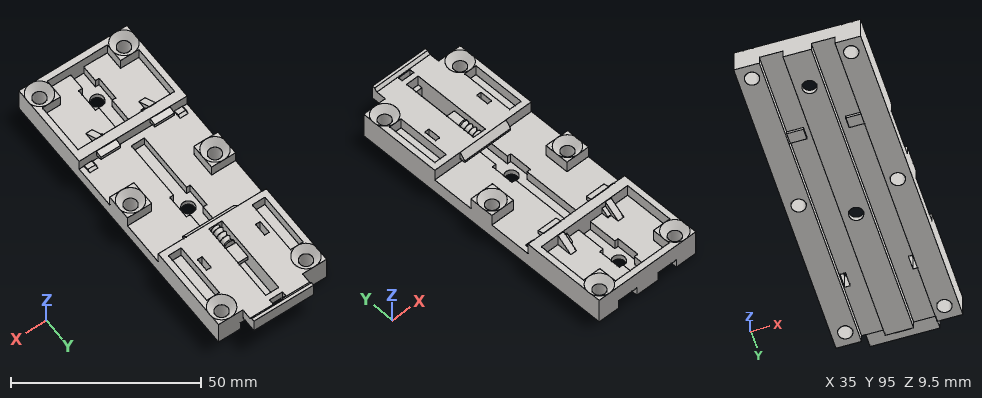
import cadquery as cq

WIDTH = 35.0
TOTAL_LENGTH = 95.0
TOTAL_HEIGHT = 9.5
BODY_LENGTH = 90.0
BODY_HEIGHT = 8.6
FLOOR_Z = 4.8
HALF_WIDTH = WIDTH / 2

SEAT_CENTER_Y = 45.0
SEAT_LENGTH = 35.6
SEAT_FRONT_Y = SEAT_CENTER_Y - SEAT_LENGTH / 2
SEAT_BACK_Y = SEAT_CENTER_Y + SEAT_LENGTH / 2

SCREW_X = 13.65
SCREW_ROWS_Y = (4.0, SEAT_CENTER_Y, 86.0)
SCREW_DIAMETER = 4.0
SINK_DIAMETER = 8.0
SINK_DEPTH = (SINK_DIAMETER - SCREW_DIAMETER) / 2
PAD_INNER_X = 9.7
PAD_LENGTH = SINK_DIAMETER

POCKET_HALF_WIDTH = 15.6
POCKET_FRONT_Y = 2.0
POCKET_BACK_Y = 24.1
GUSSET_OUTER_X = 9.6
GUSSET_INNER_X = 7.55
GUSSET_TOP_Z = 8.4
GUSSET_LENGTH = 4.9
GUSSET_SLOPE = (GUSSET_TOP_Z - FLOOR_Z) / GUSSET_LENGTH
STEP_INNER_X = 6.35
STEP_LENGTH = 2.2
STEP_TOP_Z = 6.8

GROOVE_WIDTH = 4.2
GROOVE_FLOOR_Z = 1.75
GROOVE_BACK_PART_Y = 29.3
RECESS_WIDTH = 6.6
RECESS_LENGTH = 7.5
CENTER_SCREWS_Y = (11.0, 52.0)

SHALLOW_FLOOR_Z = 5.1
SIDE_POCKET_INNER_X = 11.5
SIDE_POCKET_FRONT_Y = 64.8
SIDE_POCKET_BACK_Y = 82.0
SLIT_X = 9.4
SLIT_Y = 72.3
SLIT_WIDTH = 1.5
SLIT_LENGTH = 4.1
SLOT_FRONT_Y = 64.2
SLOT_ROD_END_Y = 70.5
SLOT_STEP_BACK_Y = 76.0
SLOT_LEDGE_Y = 88.4
SLOT_BACK_Y = 89.8
SLOT_STEP_Z = 6.15
ROD_RADIUS = 1.65
ROD_AXIS_Z = 6.7
ROD_END_LAND = 0.4
ROD_GROOVE_PITCH = 1.58
ROD_GROOVE_COUNT = 4
ROD_GROOVE_RADIUS = 1.0
ROD_GROOVE_DEPTH = 0.35

TAB_WIDTH = 19.3
LIP_FLAT = 0.95
LIP_SLOPE_END = 1.8
TAB_SLOT_FRONT_Y = 91.5
TAB_SLOT_BACK_Y = 92.9

HOOK_WIDTH = 16.6
HOOK_REACH = 1.75
HOOK_NOSE_TOP_Z = 6.6
HOOK_BOTTOM_Z = 6.0
CATCH_INNER_X = 5.5
CATCH_OUTER_X = 11.9
CATCH_REACH = 2.0
CATCH_ROOT_BOTTOM_Z = 6.5
CATCH_ROOT_TOP_Z = 8.4
CATCH_TIP_BOTTOM_Z = 6.9
CATCH_TIP_TOP_Z = 7.95
BUMP_INNER_X = 13.3
BUMP_OUTER_X = 15.9
BUMP_REACH = 2.6
BUMP_PEAK_REACH = 1.7
BUMP_ROOT_Z = 5.1
BUMP_PEAK_Z = 5.35

CHANNEL_INNER_X = 3.9
CHANNEL_OUTER_X = 10.4
CHANNEL_DEPTH = 2.9
CEILING_PAD_INNER_X = 5.8
CEILING_PAD_BOTTOM_Z = 2.0


def box(x0, x1, y0, y1, z0, z1):
    """Box between two opposite corners."""
    block = cq.Workplane("XY").box(x1 - x0, y1 - y0, z1 - z0, centered=False)
    return block.translate((x0, y0, z0))


def centered_box(width, y0, y1, z0, z1):
    """Box centred on the YZ plane."""
    return box(-width / 2, width / 2, y0, y1, z0, z1)


def both_sides(inner_x, outer_x, y0, y1, z0, z1):
    """A box and its mirror image across the YZ plane."""
    right = box(inner_x, outer_x, y0, y1, z0, z1)
    return right.union(right.mirror("YZ"))


def profile_along_x(points, x0, x1):
    """Prism with a (Y, Z) outline between two X positions."""
    return cq.Workplane("YZ").polyline(points).close().extrude(x1 - x0).translate((x0, 0, 0))


def profile_both_sides(points, inner_x, outer_x):
    """A prism along X and its mirror image across the YZ plane."""
    right = profile_along_x(points, inner_x, outer_x)
    return right.union(right.mirror("YZ"))


def make_body():
    """Block with the rail seat and front pocket cut down to the floor, and pads around the holes."""
    body = centered_box(WIDTH, 0, BODY_LENGTH, 0, BODY_HEIGHT)
    seat = centered_box(WIDTH, SEAT_FRONT_Y, SEAT_BACK_Y, FLOOR_Z, BODY_HEIGHT)
    pocket = centered_box(2 * POCKET_HALF_WIDTH, POCKET_FRONT_Y, POCKET_BACK_Y, FLOOR_Z, BODY_HEIGHT)
    body = body.cut(seat).cut(pocket)
    for row_y in SCREW_ROWS_Y[:2]:
        pad_front = row_y - PAD_LENGTH / 2
        body = body.union(
            both_sides(PAD_INNER_X, HALF_WIDTH, pad_front, pad_front + PAD_LENGTH, 0, BODY_HEIGHT)
        )
    return body


def make_tab():
    """Tab behind the body, with a sloped lip and a through slot."""
    outline = [
        (BODY_LENGTH, FLOOR_Z),
        (TOTAL_LENGTH, FLOOR_Z),
        (TOTAL_LENGTH, TOTAL_HEIGHT),
        (TOTAL_LENGTH - LIP_FLAT, TOTAL_HEIGHT),
        (TOTAL_LENGTH - LIP_SLOPE_END, BODY_HEIGHT),
        (BODY_LENGTH, BODY_HEIGHT),
    ]
    tab = profile_along_x(outline, -TAB_WIDTH / 2, TAB_WIDTH / 2)
    return tab.cut(centered_box(GROOVE_WIDTH, TAB_SLOT_FRONT_Y, TAB_SLOT_BACK_Y, 0, BODY_HEIGHT))


def make_groove():
    """Central groove in the front pocket, and in the rail seat with a tunnel on under the platform."""
    groove = centered_box(GROOVE_WIDTH, POCKET_FRONT_Y, POCKET_BACK_Y, GROOVE_FLOOR_Z, FLOOR_Z)
    groove = groove.union(
        centered_box(GROOVE_WIDTH, GROOVE_BACK_PART_Y, SLOT_LEDGE_Y, GROOVE_FLOOR_Z, FLOOR_Z)
    )
    for screw_y in CENTER_SCREWS_Y:
        front = screw_y - RECESS_LENGTH / 2
        groove = groove.union(
            centered_box(RECESS_WIDTH, front, front + RECESS_LENGTH, GROOVE_FLOOR_Z, FLOOR_Z)
        )
        hole = cq.Workplane("XY").center(0, screw_y).circle(SCREW_DIAMETER / 2).extrude(FLOOR_Z)
        groove = groove.union(hole)
    return groove


def make_channels():
    """Two underside channels, each with a thin ceiling pad below the front seat wall."""
    channels = both_sides(CHANNEL_INNER_X, CHANNEL_OUTER_X, 0, BODY_LENGTH, 0, CHANNEL_DEPTH)
    ceiling_pads = both_sides(
        CEILING_PAD_INNER_X, CHANNEL_OUTER_X,
        POCKET_BACK_Y, SEAT_FRONT_Y,
        CEILING_PAD_BOTTOM_Z, CHANNEL_DEPTH,
    )
    return channels.cut(ceiling_pads)


def make_rear_openings():
    """Side pockets, through slits and the central slot, which opens down into the groove."""
    openings = both_sides(
        SIDE_POCKET_INNER_X, POCKET_HALF_WIDTH,
        SIDE_POCKET_FRONT_Y, SIDE_POCKET_BACK_Y,
        SHALLOW_FLOOR_Z, BODY_HEIGHT,
    )
    openings = openings.union(
        both_sides(
            SLIT_X - SLIT_WIDTH / 2, SLIT_X + SLIT_WIDTH / 2,
            SLIT_Y - SLIT_LENGTH / 2, SLIT_Y + SLIT_LENGTH / 2,
            0, BODY_HEIGHT,
        )
    )
    slot_floors = [
        (SLOT_FRONT_Y, SLOT_ROD_END_Y, FLOOR_Z),
        (SLOT_ROD_END_Y, SLOT_STEP_BACK_Y, SLOT_STEP_Z),
        (SLOT_STEP_BACK_Y, SLOT_LEDGE_Y, FLOOR_Z),
        (SLOT_LEDGE_Y, SLOT_BACK_Y, SHALLOW_FLOOR_Z),
    ]
    for front, back, floor in slot_floors:
        openings = openings.union(centered_box(GROOVE_WIDTH, front, back, floor, BODY_HEIGHT))
    return openings


def make_rod():
    """Ribbed rod lying in the front end of the central slot."""
    rod_length = SLOT_ROD_END_Y - SLOT_FRONT_Y
    rod = cq.Workplane("XY").circle(ROD_RADIUS).extrude(rod_length)
    ring_radius = ROD_RADIUS + ROD_GROOVE_RADIUS - ROD_GROOVE_DEPTH
    for index in range(ROD_GROOVE_COUNT):
        ring = cq.Solid.makeTorus(ring_radius, ROD_GROOVE_RADIUS)
        ring_place = rod_length - ROD_END_LAND - (index + 0.5) * ROD_GROOVE_PITCH
        rod = rod.cut(cq.Workplane(ring.translate(cq.Vector(0, 0, ring_place))))
    rod = rod.rotate((0, 0, 0), (1, 0, 0), -90)
    return rod.translate((0, SLOT_FRONT_Y, ROD_AXIS_Z))


def make_gussets():
    """Sloped gussets on the back wall of the front pocket, each with a lower step."""
    toe_y = POCKET_BACK_Y - GUSSET_LENGTH
    gusset = [(POCKET_BACK_Y, FLOOR_Z), (POCKET_BACK_Y, GUSSET_TOP_Z), (toe_y, FLOOR_Z)]
    step_y = POCKET_BACK_Y - STEP_LENGTH
    step = [
        (POCKET_BACK_Y, FLOOR_Z),
        (POCKET_BACK_Y, STEP_TOP_Z),
        (step_y, STEP_TOP_Z - STEP_LENGTH * GUSSET_SLOPE),
        (step_y, FLOOR_Z),
    ]
    gussets = profile_both_sides(gusset, GUSSET_INNER_X, GUSSET_OUTER_X)
    return gussets.union(profile_both_sides(step, STEP_INNER_X, GUSSET_INNER_X))


def make_hook():
    """Undercut hook on the back wall of the rail seat."""
    nose_y = SEAT_BACK_Y - HOOK_REACH
    outline = [
        (SEAT_BACK_Y, BODY_HEIGHT),
        (nose_y, HOOK_NOSE_TOP_Z),
        (nose_y, HOOK_BOTTOM_Z),
        (SEAT_BACK_Y, HOOK_BOTTOM_Z),
    ]
    return profile_along_x(outline, -HOOK_WIDTH / 2, HOOK_WIDTH / 2)


def make_catches():
    """Overhanging catches and low floor bumps on the front wall of the rail seat."""
    tip_y = SEAT_FRONT_Y + CATCH_REACH
    catch = [
        (SEAT_FRONT_Y, CATCH_ROOT_BOTTOM_Z),
        (tip_y, CATCH_TIP_BOTTOM_Z),
        (tip_y, CATCH_TIP_TOP_Z),
        (SEAT_FRONT_Y, CATCH_ROOT_TOP_Z),
    ]
    bump = [
        (SEAT_FRONT_Y, FLOOR_Z),
        (SEAT_FRONT_Y + BUMP_REACH, FLOOR_Z),
        (SEAT_FRONT_Y + BUMP_PEAK_REACH, BUMP_PEAK_Z),
        (SEAT_FRONT_Y, BUMP_ROOT_Z),
    ]
    catches = profile_both_sides(catch, CATCH_INNER_X, CATCH_OUTER_X)
    return catches.union(profile_both_sides(bump, BUMP_INNER_X, BUMP_OUTER_X))


def drill_mounting_holes(body):
    """Six countersunk through holes."""
    places = [(x, row_y) for x in (-SCREW_X, SCREW_X) for row_y in SCREW_ROWS_Y]
    for x, y in places:
        shank = cq.Solid.makeCylinder(SCREW_DIAMETER / 2, BODY_HEIGHT, cq.Vector(x, y, 0))
        sink = cq.Solid.makeCone(
            SCREW_DIAMETER / 2, SINK_DIAMETER / 2, SINK_DEPTH, cq.Vector(x, y, BODY_HEIGHT - SINK_DEPTH)
        )
        body = body.cut(cq.Workplane(shank)).cut(cq.Workplane(sink))
    return body


part = make_body().union(make_tab())
part = part.cut(make_groove()).cut(make_channels()).cut(make_rear_openings())
part = part.union(make_rod()).union(make_gussets()).union(make_hook()).union(make_catches())
result = drill_mounting_holes(part)